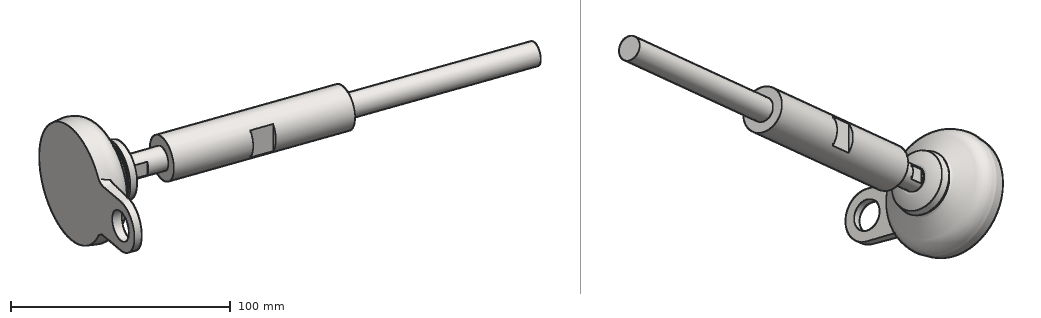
import cadquery as cq
import math

TOTAL_LENGTH = 243.0

FOOT_RADIUS = 60.0 / 2
SOLE_RADIUS = 29.2
RIM_HEIGHT = 6.0
SHOULDER_RADIUS = 29.6
SHOULDER_HEIGHT = 8.7
CONE_BASE_RADIUS = 24.5
CONE_BASE_HEIGHT = 15.3
CONE_TOP_RADIUS = 15.5
CONE_TOP_HEIGHT = 20.2
GROOVE_RADIUS = 14.5
GROOVE_BOTTOM = 21.1
GROOVE_TOP = 21.9
COLLAR_RADIUS = 15.3
COLLAR_BASE_HEIGHT = 22.4
COLLAR_TOP_RADIUS = 14.3
COLLAR_TOP_HEIGHT = 26.5
CROWN_RADIUS = 7.3
FOOT_HEIGHT = 28.7
CROWN_MID_RADIUS = 11.2
CROWN_MID_HEIGHT = 28.0

LUG_REACH = 88.0 - FOOT_RADIUS
LUG_WIDTH = 25.5
LUG_END_X = LUG_REACH - LUG_WIDTH / 2
LUG_HOLE_DIAMETER = 15.0
LUG_ROOT_HEIGHT = 5.3
LUG_TIP_HEIGHT = 4.0
LUG_ROOT_FILLET = 5.8

ROD_DIAMETER = 12.0
ROD_FLAT_WIDTH = 9.7
ROD_FLAT_START = 29.6
ROD_FLAT_LENGTH = 7.5
SLEEVE_DIAMETER = 22.0
SLEEVE_START = 47.6
SLEEVE_LENGTH = 95.0
SLEEVE_FLAT_WIDTH = 17.0
SLEEVE_FLAT_LENGTH = 12.0


def cylinder_along_y(diameter, start, length):
    """Cylinder on the common axis, from Y = start towards +Y."""
    return cq.Workplane("XZ", origin=(0, start, 0)).circle(diameter / 2).extrude(-length)


def make_lug():
    """Round-ended tongue whose upper face slopes down to its tip."""
    half_width = LUG_WIDTH / 2
    outline = (
        cq.Workplane("XZ")
        .moveTo(0, -half_width)
        .lineTo(LUG_END_X, -half_width)
        .threePointArc((LUG_REACH, 0), (LUG_END_X, half_width))
        .lineTo(0, half_width)
        .close()
        .extrude(-RIM_HEIGHT)
    )
    side_profile = (
        cq.Workplane("XY")
        .polyline([
            (0, 0),
            (LUG_REACH, 0),
            (LUG_REACH, LUG_TIP_HEIGHT),
            (FOOT_RADIUS, LUG_ROOT_HEIGHT),
            (0, LUG_ROOT_HEIGHT),
        ])
        .close()
        .extrude(half_width, both=True)
    )
    return outline.intersect(side_profile)


def make_lug_root_fillets():
    """Web that rounds the two corners between the rim and the lug."""
    half_width = LUG_WIDTH / 2
    centre_z = half_width + LUG_ROOT_FILLET
    centre_x = math.sqrt((SOLE_RADIUS + LUG_ROOT_FILLET) ** 2 - centre_z ** 2)
    rim_share = SOLE_RADIUS / (SOLE_RADIUS + LUG_ROOT_FILLET)
    rim_x = centre_x * rim_share
    rim_z = centre_z * rim_share
    web = (
        cq.Workplane("XZ")
        .polyline([(0, -rim_z), (rim_x, -rim_z), (centre_x, -half_width),
                   (centre_x, half_width), (rim_x, rim_z), (0, rim_z)])
        .close()
        .extrude(-LUG_ROOT_HEIGHT)
    )
    rounding = (
        cq.Workplane("XZ")
        .pushPoints([(centre_x, centre_z), (centre_x, -centre_z)])
        .circle(LUG_ROOT_FILLET)
        .extrude(-LUG_ROOT_HEIGHT)
    )
    return web.cut(rounding)


def make_foot():
    plate = (
        cq.Workplane("XY")
        .lineTo(SOLE_RADIUS, 0)
        .lineTo(FOOT_RADIUS, RIM_HEIGHT)
        .lineTo(SHOULDER_RADIUS, SHOULDER_HEIGHT)
        .tangentArcPoint((CONE_BASE_RADIUS, CONE_BASE_HEIGHT), relative=False)
        .lineTo(CONE_TOP_RADIUS, CONE_TOP_HEIGHT)
        .lineTo(GROOVE_RADIUS, GROOVE_BOTTOM)
        .lineTo(GROOVE_RADIUS, GROOVE_TOP)
        .lineTo(COLLAR_RADIUS, COLLAR_BASE_HEIGHT)
        .lineTo(COLLAR_TOP_RADIUS, COLLAR_TOP_HEIGHT)
        .threePointArc((CROWN_MID_RADIUS, CROWN_MID_HEIGHT), (CROWN_RADIUS, FOOT_HEIGHT))
        .lineTo(0, FOOT_HEIGHT)
        .close()
        .revolve(360, (0, 0, 0), (0, 1, 0))
    )
    hole = (
        cq.Workplane("XZ")
        .center(LUG_END_X, 0)
        .circle(LUG_HOLE_DIAMETER / 2)
        .extrude(-RIM_HEIGHT)
    )
    return plate.union(make_lug()).union(make_lug_root_fillets()).cut(hole)


def cut_wrench_flats(body, diameter, flat_width, start, length):
    """Cut two opposite flats, facing -X and +X, flat_width apart."""
    for side in (-1, 1):
        cutter = cq.Workplane("XY").box(diameter, length, diameter).translate(
            (side * (flat_width + diameter) / 2, start + length / 2, 0)
        )
        body = body.cut(cutter)
    return body


def make_spindle():
    rod = cylinder_along_y(ROD_DIAMETER, FOOT_HEIGHT, TOTAL_LENGTH - FOOT_HEIGHT)
    rod = cut_wrench_flats(rod, ROD_DIAMETER, ROD_FLAT_WIDTH, ROD_FLAT_START, ROD_FLAT_LENGTH)
    sleeve = cylinder_along_y(SLEEVE_DIAMETER, SLEEVE_START, SLEEVE_LENGTH)
    spindle = rod.union(sleeve)
    flat_start = SLEEVE_START + (SLEEVE_LENGTH - SLEEVE_FLAT_LENGTH) / 2
    return cut_wrench_flats(
        spindle, SLEEVE_DIAMETER, SLEEVE_FLAT_WIDTH, flat_start, SLEEVE_FLAT_LENGTH
    )


foot = make_foot()
spindle = make_spindle()
result = cq.Compound.makeCompound([foot.val(), spindle.val()])